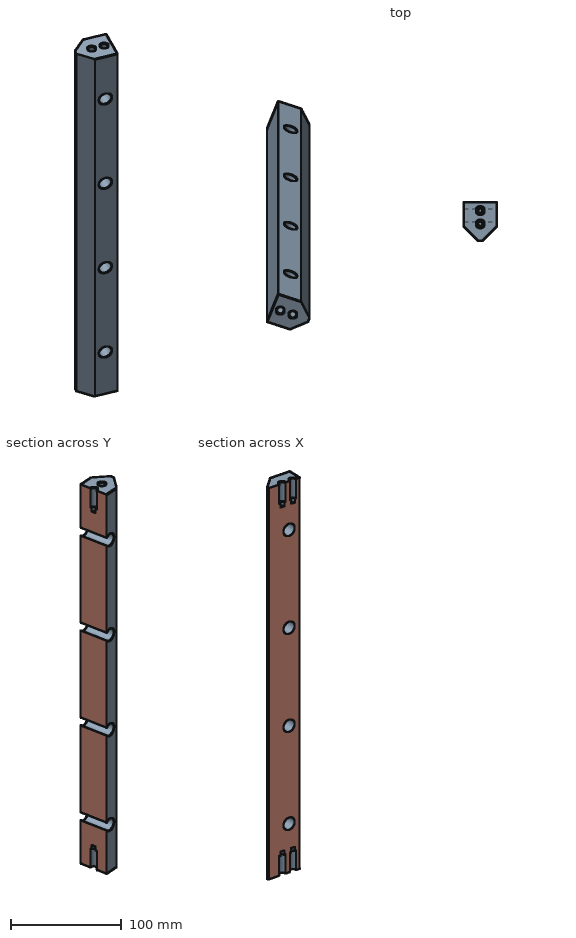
import cadquery as cq

length = 400.0
width = 30.0
side_depth = 22.0
nose_flat = 4.0
nose_height = (width - nose_flat) / 2
depth = side_depth + nose_height
edge_break = 0.5

back_y = depth / 2
nose_y = -depth / 2
shoulder_y = back_y - side_depth

cross_hole_diameter = 12.0
cross_hole_chamfer = 0.5
cross_hole_from_back = 12.0
cross_hole_count = 4
cross_hole_pitch = length / cross_hole_count

end_hole_diameter = 6.5
end_hole_chamfer = 1.0
end_hole_depth = 20.0
pilot_diameter = 4.0
pilot_depth = end_hole_depth + 4.0
first_end_hole_from_back = 7.5
end_hole_spacing = 12.0


def make_bar():
    outline = [
        (-width / 2, back_y),
        (width / 2, back_y),
        (width / 2, shoulder_y),
        (nose_flat / 2, nose_y),
        (-nose_flat / 2, nose_y),
        (-width / 2, shoulder_y),
    ]
    bar = cq.Workplane("XY").polyline(outline).close().extrude(length)
    return bar.faces("<X or >X or >Y").edges("#Z or >Y").chamfer(edge_break)


def drill(body, face, centers, diameter, hole_depth):
    """Cut flat-bottomed holes from a face plane into the body."""
    holes = cq.Workplane(face).pushPoints(centers).circle(diameter / 2).extrude(-hole_depth)
    return body.cut(holes)


def chamfer_mouths(body, face, centers, diameter, chamfer):
    """Widen the mouths of holes in a face plane with a 45 degree chamfer."""
    radius = diameter / 2
    for center in centers:
        cone = cq.Solid.makeCone(
            radius + chamfer, radius, chamfer, face.toWorldCoords(center), -face.zDir
        )
        body = body.cut(cq.Workplane(cone))
    return body


def drill_cross_holes(body):
    hole_y = back_y - cross_hole_from_back
    heights = [(index + 0.5) * cross_hole_pitch for index in range(cross_hole_count)]
    for side in (-1, 1):
        face = cq.Plane((side * width / 2, 0, 0), xDir=(0, 1, 0), normal=(side, 0, 0))
        centers = [(hole_y, side * height) for height in heights]
        body = drill(body, face, centers, cross_hole_diameter, width / 2)
        body = chamfer_mouths(body, face, centers, cross_hole_diameter, cross_hole_chamfer)
    return body


def drill_end_holes(body):
    first_y = back_y - first_end_hole_from_back
    for end, z in ((1, length), (-1, 0)):
        face = cq.Plane((0, 0, z), xDir=(1, 0, 0), normal=(0, 0, end))
        centers = [(0, end * first_y), (0, end * (first_y - end_hole_spacing))]
        body = drill(body, face, centers, end_hole_diameter, end_hole_depth)
        body = drill(body, face, centers, pilot_diameter, pilot_depth)
        body = chamfer_mouths(body, face, centers, end_hole_diameter, end_hole_chamfer)
    return body


result = drill_end_holes(drill_cross_holes(make_bar()))